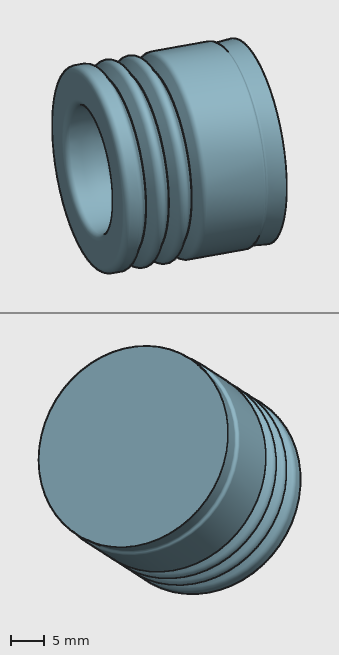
import cadquery as cq
import math


outer_radius = 15.8
length = 25.9
front_y = -length / 2
back_y = front_y + length

edge_round = 0.95

groove_count = 3
groove_width = 3.63
front_land = 2.28
groove_radius = 13.87
flank_angle = math.radians(57.0)

collar_length = 2.88
collar_taper = math.radians(5.0)
shoulder_angle = math.radians(57.0)
shoulder_round = 0.47

pocket_depth = 6.95
pocket_mouth_radius = 9.85
pocket_draft = math.radians(5.0)
pocket_floor_radius = pocket_mouth_radius - pocket_depth * math.tan(pocket_draft)


def arc_point(center, radius, angle):
    """Point on an arc in the (radius, y) half-plane, with the angle measured from outwards towards +Y."""
    return center[0] + radius * math.cos(angle), center[1] + radius * math.sin(angle)


def add_groove(profile, start_y):
    """Carry the profile from the outer cylinder through one groove and back out."""
    end_y = start_y + groove_width
    crest_center_radius = outer_radius - edge_round
    front_crest = (crest_center_radius, start_y)
    back_crest = (crest_center_radius, end_y)

    front_flank_top = arc_point(front_crest, edge_round, flank_angle)
    back_flank_top = arc_point(back_crest, edge_round, -flank_angle)
    flank_run = (front_flank_top[0] - groove_radius) / math.tan(flank_angle)

    return (
        profile
        .threePointArc(arc_point(front_crest, edge_round, flank_angle / 2), front_flank_top)
        .lineTo(groove_radius, front_flank_top[1] + flank_run)
        .lineTo(groove_radius, back_flank_top[1] - flank_run)
        .lineTo(*back_flank_top)
        .threePointArc(arc_point(back_crest, edge_round, -flank_angle / 2), (outer_radius, end_y))
    )


def add_collar(profile):
    """Carry the profile down the S-shaped shoulder and along the widening collar to the back face."""
    shoulder_run = shoulder_round * (2 * math.sin(shoulder_angle) + math.sin(collar_taper))
    start_y = back_y - collar_length - shoulder_run

    convex_center = (outer_radius - shoulder_round, start_y)
    concave_center = arc_point(convex_center, 2 * shoulder_round, shoulder_angle)
    inflection = arc_point(convex_center, shoulder_round, shoulder_angle)
    concave_middle = arc_point(concave_center, -shoulder_round, (shoulder_angle - collar_taper) / 2)
    collar_start = arc_point(concave_center, -shoulder_round, -collar_taper)
    collar_end_radius = collar_start[0] + collar_length * math.tan(collar_taper)

    return (
        profile
        .lineTo(outer_radius, start_y)
        .threePointArc(arc_point(convex_center, shoulder_round, shoulder_angle / 2), inflection)
        .threePointArc(concave_middle, collar_start)
        .lineTo(collar_end_radius, back_y)
    )


def revolve_about_y(profile):
    return profile.close().revolve(360, (0, 0, 0), (0, 1, 0))


def make_body():
    groove_start = front_y + front_land
    profile = (
        cq.Workplane("XY")
        .moveTo(0, front_y)
        .lineTo(outer_radius, front_y)
        .lineTo(outer_radius, groove_start)
    )
    for index in range(groove_count):
        profile = add_groove(profile, groove_start + index * groove_width)
    profile = add_collar(profile)
    return revolve_about_y(profile.lineTo(0, back_y))


def make_pocket():
    floor_y = front_y + pocket_depth
    profile = (
        cq.Workplane("XY")
        .moveTo(0, front_y)
        .lineTo(pocket_mouth_radius, front_y)
        .lineTo(pocket_floor_radius, floor_y)
        .lineTo(0, floor_y)
    )
    return revolve_about_y(profile).faces(">Y").edges().fillet(edge_round)


body = make_body().cut(make_pocket())
result = body.faces("<Y").edges().fillet(edge_round)